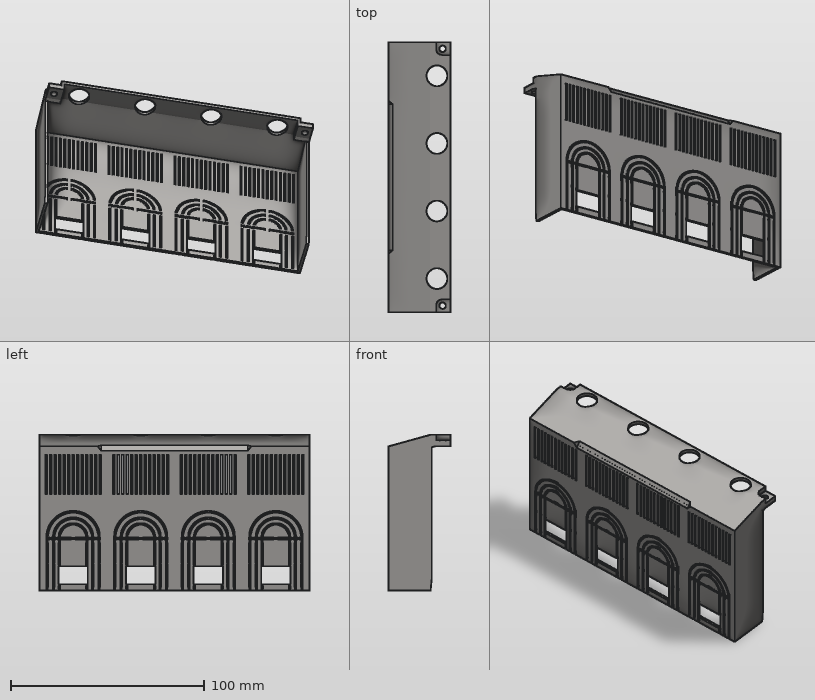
import cadquery as cq
import math

length = 140.0
height = 80.8
flange_reach = 32.3
half_length = length / 2

front_height = 74.8
ridge_x = 21.7
body_depth = 22.5
foot_depth = 22.0
foot_taper_height = 5.9
ear_bottom = 74.8
haunch_length = 2.0
haunch_drop = 0.5

wall = 1.4
roof = 2.0

ear_top = 77.8
ear_x = 24.8
ear_width = 6.7
ear_corner_radius = 3.1
screw_x = 28.1
screw_edge_distance = 3.5
screw_diameter = 3.2

module_count = 4
module_pitch = length / module_count
module_centers = [(i - (module_count - 1) / 2) * module_pitch for i in range(module_count)]
cable_hole_x = 25.2
cable_hole_diameter = 10.6

groove = 0.8
vent_count = 13
vent_pitch = 2.32
vent_bottom = 50.1
vent_top = 70.3

arch_base = 27.5
arch_radii = [13.9, 10.5, 7.5]
inner_radius = arch_radii[-1]
window_bottom = 3.4
window_top = 12.6
crown_web = 2.2
band_web = 1.05
web_recess = 0.52
foot_webs = [(24.8, 29.4)]
outer_leg_webs = foot_webs + [(13.7, 14.5), (0, 2.0)]
inner_leg_webs = foot_webs + [(window_top, 13.5), (2.4, window_bottom), (0, 1.1)]

notch_half_length = 39.8
notch_floor_half_length = 37.8
notch_bottom = 72.4
notch_depth = 2.2

roof_slope = (height - front_height) / ridge_x
web_taper = -math.degrees(math.atan(groove / web_recess))


def box(x_range, y_range, z_range):
    """Axis-aligned box given by its limits."""
    limits = (x_range, y_range, z_range)
    sizes = [high - low for low, high in limits]
    corner = cq.Vector(*[low for low, high in limits])
    return cq.Workplane(cq.Solid.makeBox(*sizes, corner))


def extrude_along_length(points, half_width):
    """Prism of an XZ outline, centred on Y = 0."""
    return cq.Workplane("XZ").polyline(points).close().extrude(half_width, both=True)


def make_shell():
    outline = [
        (0, 0),
        (0, front_height),
        (ridge_x, height),
        (flange_reach, height),
        (flange_reach, ear_bottom),
        (body_depth + haunch_length, ear_bottom),
        (body_depth, ear_bottom - haunch_drop),
        (body_depth, foot_taper_height),
        (foot_depth, 0),
    ]
    cavity = [
        (wall, 0),
        (wall, front_height + roof_slope * wall - roof),
        (ridge_x, height - roof),
        (body_depth, height - roof),
        (body_depth, 0),
    ]
    shell = extrude_along_length(outline, half_length)
    shell = shell.cut(extrude_along_length(cavity, half_length - wall))
    between_ears = half_length - ear_width - wall
    return shell.cut(box((body_depth, flange_reach), (-between_ears, between_ears), (0, height - roof)))


def ear_recess(side):
    """Corner pocket above one screw ear, with the screw hole below it."""
    inner_y = half_length - ear_width
    pocket = box((ear_x, flange_reach), (inner_y, half_length), (ear_top, height))
    pocket = pocket.edges("|Z and <X and <Y").fillet(ear_corner_radius)
    screw = (
        cq.Workplane()
        .center(screw_x, half_length - screw_edge_distance)
        .circle(screw_diameter / 2)
        .extrude(height)
    )
    recess = pocket.union(screw)
    return recess if side > 0 else recess.mirror("XZ")


def edge_notch():
    """Bevel along the front top edge with slanted triangular ends."""
    tops = [cq.Vector(0, s * notch_half_length, front_height) for s in (-1, 1)]
    lows = [cq.Vector(0, s * notch_floor_half_length, notch_bottom) for s in (-1, 1)]
    back_height = front_height + roof_slope * notch_depth
    backs = [cq.Vector(notch_depth, s * notch_floor_half_length, back_height) for s in (-1, 1)]
    outlines = [
        [tops[0], tops[1], lows[1], lows[0]],
        [tops[0], tops[1], backs[1], backs[0]],
        [lows[0], lows[1], backs[1], backs[0]],
        [tops[0], lows[0], backs[0]],
        [tops[1], lows[1], backs[1]],
    ]
    faces = [cq.Face.makeFromWires(cq.Wire.makePolygon(points, close=True)) for points in outlines]
    return cq.Workplane(cq.Solid.makeSolid(cq.Shell.makeShell(faces)))


def arch_plug(radius, taper=0):
    """Arch-shaped plug through the front wall; a negative taper widens it inwards."""
    return (
        cq.Workplane("YZ")
        .moveTo(-radius, 0)
        .lineTo(-radius, arch_base)
        .threePointArc((0, arch_base + radius), (radius, arch_base))
        .lineTo(radius, 0)
        .close()
        .extrude(wall, taper=taper)
    )


def arch_groove(radius):
    """Arch-shaped slot, interrupted by webs whose front slopes back outwards."""
    core_radius = radius - groove
    leg_webs = inner_leg_webs if radius == inner_radius else outer_leg_webs
    zones = box((0, wall), (-crown_web / 2, crown_web / 2), (arch_base, arch_base + radius))
    for z_range in leg_webs:
        zones = zones.union(box((0, wall), (-radius, radius), z_range))
    webs = arch_plug(core_radius, taper=web_taper).intersect(zones)
    return arch_plug(radius).cut(arch_plug(core_radius)).cut(webs)


def cross_slot():
    """Level slot under the arches, with a web at the centre and one in each band."""
    outer = arch_radii[0]
    slot = box((0, wall), (-outer, outer), (arch_base - groove, arch_base))
    web_outline = [
        (0, arch_base - groove),
        (web_recess, arch_base),
        (wall, arch_base),
        (wall, arch_base - groove),
    ]
    webs = [(0, crown_web)]
    for band_outer, band_inner in zip(arch_radii, arch_radii[1:]):
        band_center = (band_outer - groove + band_inner) / 2
        webs += [(-band_center, band_web), (band_center, band_web)]
    for center, width in webs:
        slot = slot.cut(extrude_along_length(web_outline, width / 2).translate((0, center, 0)))
    return slot


def front_openings():
    """Vents, break-out arches and window of one module, centred on Y = 0."""
    openings = box((0, wall), (-inner_radius, inner_radius), (window_bottom, window_top))
    openings = openings.union(cross_slot())
    for radius in arch_radii:
        openings = openings.union(arch_groove(radius))
    for i in range(vent_count):
        vent_y = (i - (vent_count - 1) / 2) * vent_pitch
        vent_sides = (vent_y - groove / 2, vent_y + groove / 2)
        openings = openings.add(box((0, wall), vent_sides, (vent_bottom, vent_top)))
    return openings.combine()


def cable_holes():
    return (
        cq.Workplane()
        .pushPoints([(cable_hole_x, y) for y in module_centers])
        .circle(cable_hole_diameter / 2)
        .extrude(height)
    )


result = make_shell().cut(edge_notch()).cut(cable_holes())
for side in (-1, 1):
    result = result.cut(ear_recess(side))
module_openings = front_openings()
for module_y in module_centers:
    result = result.cut(module_openings.translate((0, module_y, 0)))